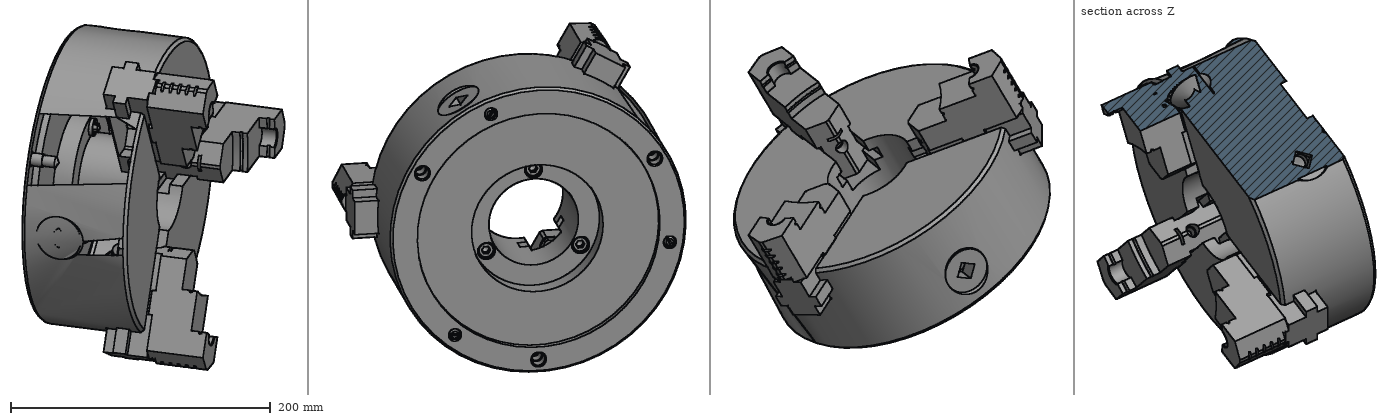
import cadquery as cq
import math

COUNT = 3
PITCH = 360 / COUNT
TAN30 = math.tan(math.radians(30))

body_radius = 116.0
body_length = 84.2
body_chamfer = 2.5
back_chamfer_width = 1.8
bore_diameter = 70.0
bolt_recess_diameter = 103.0
bolt_recess_depth = 15.0
spigot_diameter = 190.0
spigot_depth = 5.3

master_back = 54.5
master_front = 89.5
master_half_width = 13.4
master_outer_end = 133.5
tongue_back = 63.8
tongue_front = 73.8
tongue_half_width = 19.7
slot_clearance = 0.8
adjusting_hole_x = 82.0

jaw_front = 134.5
jaw_half_width = 16.5
jaw_inner_end = 45.9
jaw_outer_end = 136.0
step_fronts = (110.1, 122.2)
step_radii = (78.1, 109.0)
nose_flat = 2.8
tail_flat = 3.5
tail_shoulder = 128.5
step_corner_flat = 1.5
bolt_notch_diameter = 15.0
bolt_notch_chamfer = 0.8
bolt_diameter = 13.0

groove_width = 2.3
groove_depth = 1.8
groove_offset = 1.0
tooth_width = 1.9
tooth_depth = 1.5
tooth_count = 5
tooth_pitch = 6.5
first_tooth_x = 99.3

rib_half_width = 6.5
rib_height = 2.5
rib_slot_depth = 4.8
key_inner = 81.7
key_outer = 100.5
key_height = 3.0
key_slot_depth = 3.8

pinion_x = 29.5
pinion_angle = 60
pinion_diameter = 35.8
pinion_rim_diameter = 40.3
socket_side = 11.8
socket_depth = 14.0
socket_drill_depth = 7.5

tapped_radius = 105.0
tapped_angle = 30
thread_diameter = 10.0
thread_mouth_diameter = 12.0
thread_depth = 10.0
core_diameter = 8.5
core_depth = 20.2
slotted_radius = 104.0
slotted_angle = 69
slotted_mouth_diameter = 10.0
slotted_head_diameter = 8.5
slotted_crown_diameter = 5.5
slotted_recess_depth = 2.0
screw_slot_width = 1.5
screw_slot_depth = 0.8
screw_slot_turn = 51
cap_radius = 42.5
cap_angle = 90
cap_counterbore_diameter = 13.5
cap_head_diameter = 13.0
cap_crown_diameter = 11.0
cap_recess_depth = 2.0
hex_corner_diameter = 6.8
hex_depth = 3.8
hex_drill_diameter = 5.5

X_AXIS = cq.Vector(1, 0, 0)
Y_AXIS = cq.Vector(0, 1, 0)
Z_AXIS = cq.Vector(0, 0, 1)


def turned(shape, angle):
    """Turn a shape about the chuck axis."""
    return shape.rotate((0, 0, 0), (1, 0, 0), angle)


def repeated(shape, first_angle=0):
    """Equally spaced copies of a shape around the chuck axis."""
    copies = [turned(shape, first_angle + PITCH * i) for i in range(COUNT)]
    return copies[0].add(copies[1]).add(copies[2]).combine()


def block(x_range, y_range, half_width):
    """A box given by its X and Y ranges, centred on Z = 0."""
    (x0, x1), (y0, y1) = x_range, y_range
    return cq.Workplane().box(x1 - x0, y1 - y0, 2 * half_width).translate(((x0 + x1) / 2, (y0 + y1) / 2, 0))


def rod(diameter, start, length, direction):
    return cq.Workplane(cq.Solid.makeCylinder(diameter / 2, length, cq.Vector(*start), direction))


def cone(start_diameter, end_diameter, start, length, direction):
    return cq.Workplane(
        cq.Solid.makeCone(start_diameter / 2, end_diameter / 2, length, cq.Vector(*start), direction)
    )


def drill_point(diameter, start, direction):
    """The 120 degree bottom of a drilled hole."""
    return cone(diameter, 0, start, diameter / 2 * TAN30, direction)


def make_body():
    """Chamfered disc with a through bore and stepped recesses in its mounting face."""
    body = rod(2 * body_radius, (0, 0, 0), body_length, X_AXIS)
    body = body.faces(">X").chamfer(body_chamfer)
    body = body.faces("<X").chamfer(body_chamfer, back_chamfer_width)
    recess_floor = spigot_depth + bolt_recess_depth
    body = body.cut(rod(spigot_diameter, (0, 0, 0), spigot_depth, X_AXIS))
    body = body.cut(rod(bolt_recess_diameter, (0, 0, 0), recess_floor, X_AXIS))
    return body.cut(rod(bore_diameter, (0, 0, 0), body_length, X_AXIS))


def tee_bar(back, front, y_range):
    """A bar with side tongues, the section shared by the master jaws and their slots."""
    stem = block((back, front), y_range, master_half_width)
    return stem.union(block((tongue_back, tongue_front), y_range, tongue_half_width))


def nose_wedge(outer_end, half_width):
    """Plan of a jaw whose inner end is a blunt 120 degree point, as a tall prism."""
    flat = nose_flat / 2
    shoulder = jaw_inner_end + (half_width - flat) * TAN30
    points = [
        (jaw_inner_end, -flat),
        (shoulder, -half_width),
        (outer_end, -half_width),
        (outer_end, half_width),
        (shoulder, half_width),
        (jaw_inner_end, flat),
    ]
    return cq.Workplane("YZ").polyline(points).close().extrude(jaw_front)


def make_master_jaw():
    """Sliding base jaw with a locating rib, a cross slot and a threaded hole in its nose."""
    y_range = (0, master_outer_end)
    jaw = tee_bar(master_back, master_front, y_range)
    jaw = jaw.union(block((master_front, master_front + rib_height), y_range, rib_half_width))
    jaw = jaw.intersect(nose_wedge(master_outer_end, tongue_half_width))
    key_slot = (master_front - key_slot_depth, master_front + rib_height)
    jaw = jaw.cut(block(key_slot, (key_inner, key_outer), tongue_half_width))
    hole_start = (adjusting_hole_x, jaw_inner_end, 0)
    jaw = jaw.cut(rod(thread_diameter, hole_start, thread_depth, Y_AXIS))
    return jaw.cut(rod(core_diameter, hole_start, core_depth, Y_AXIS))


def step_hollow(corner_radius, back, front):
    """Coaxial grinding hollow with a round groove, leaving a narrow flat at both step corners."""
    radius = math.hypot(corner_radius, jaw_half_width - step_corner_flat)
    hollow = rod(2 * radius, (back, 0, 0), front - back, X_AXIS)
    tube_radius = groove_width / 2
    ring_radius = radius + groove_depth - tube_radius
    ring_x = (back + front) / 2 + groove_offset
    ring = cq.Solid.makeTorus(ring_radius, tube_radius, cq.Vector(ring_x, 0, 0), X_AXIS)
    return hollow.union(cq.Workplane(ring))


def make_teeth():
    """Cutters for the round-bottomed serrations across the tail of a top jaw."""
    root = jaw_outer_end - tooth_depth + tooth_width / 2
    teeth = cq.Workplane()
    for i in range(tooth_count):
        x = first_tooth_x + i * tooth_pitch
        x_range = (x - tooth_width / 2, x + tooth_width / 2)
        teeth = teeth.add(block(x_range, (root, jaw_outer_end), jaw_half_width))
        teeth = teeth.add(rod(tooth_width, (x, root, -jaw_half_width), 2 * jaw_half_width, Z_AXIS))
    return teeth.combine()


def make_top_jaw():
    """Stepped jaw with hollow-ground steps, a pointed tail, a cross key and its clamping bolt."""
    low, middle = step_fronts
    inner_step, outer_step = step_radii
    outline = [
        (master_front, 0),
        (low, 0),
        (low, inner_step),
        (middle, inner_step),
        (middle, outer_step),
        (jaw_front, outer_step),
        (jaw_front, jaw_outer_end),
        (master_front, jaw_outer_end),
    ]
    jaw = cq.Workplane().polyline(outline).close().extrude(jaw_half_width, both=True)
    jaw = jaw.intersect(nose_wedge(jaw_outer_end, jaw_half_width))
    tail = [
        (0, -jaw_half_width),
        (tail_shoulder, -jaw_half_width),
        (jaw_outer_end, -tail_flat / 2),
        (jaw_outer_end, tail_flat / 2),
        (tail_shoulder, jaw_half_width),
        (0, jaw_half_width),
    ]
    jaw = jaw.intersect(cq.Workplane("YZ").polyline(tail).close().extrude(jaw_front))
    jaw = jaw.cut(step_hollow(inner_step, low, middle))
    jaw = jaw.cut(step_hollow(outer_step, middle, jaw_front))
    jaw = jaw.cut(rod(bolt_notch_diameter, (middle, outer_step, 0), jaw_front - middle, X_AXIS))
    mouth_diameter = bolt_notch_diameter + 2 * bolt_notch_chamfer
    mouth_start = (jaw_front, outer_step, 0)
    jaw = jaw.cut(cone(mouth_diameter, bolt_notch_diameter, mouth_start, bolt_notch_chamfer, -X_AXIS))
    jaw = jaw.cut(make_teeth())
    rib_slot = (master_front, master_front + rib_slot_depth)
    jaw = jaw.cut(block(rib_slot, (0, jaw_outer_end), rib_half_width))
    key = (master_front - key_height, master_front)
    jaw = jaw.union(block(key, (key_inner, key_outer), jaw_half_width))
    return jaw.union(rod(bolt_diameter, (master_front, outer_step, 0), low - master_front, X_AXIS))


def pinion_cut():
    """Flat pinion end with a wide countersink around it and a square key socket, drilled deeper."""
    face = math.sqrt(body_radius**2 - (pinion_diameter / 2) ** 2)
    rise = body_radius - face
    rim_growth = pinion_rim_diameter - pinion_diameter
    mouth = cone(pinion_diameter, pinion_diameter + 2 * rim_growth, (pinion_x, face, 0), 2 * rise, Y_AXIS)
    floor = face - socket_depth
    socket = block((-socket_side / 2, socket_side / 2), (floor, face), socket_side / 2)
    socket = socket.rotate((0, 0, 0), (0, 1, 0), 45).translate((pinion_x, 0, 0))
    drill = rod(socket_side, (pinion_x, floor, 0), socket_drill_depth, -Y_AXIS)
    point = drill_point(socket_side, (pinion_x, floor - socket_drill_depth, 0), -Y_AXIS)
    return mouth.union(socket).union(drill).union(point)


def tapped_hole_cut():
    """Chamfered threaded mounting hole with a drilled bottom."""
    chamfer = (thread_mouth_diameter - thread_diameter) / 2
    hole = cone(thread_mouth_diameter, thread_diameter, (0, tapped_radius, 0), chamfer, X_AXIS)
    hole = hole.union(rod(thread_diameter, (0, tapped_radius, 0), thread_depth, X_AXIS))
    hole = hole.union(rod(core_diameter, (0, tapped_radius, 0), core_depth, X_AXIS))
    return hole.union(drill_point(core_diameter, (core_depth, tapped_radius, 0), X_AXIS))


def slotted_screw_cut():
    """Countersink around a crowned, slotted screw head."""
    depth = slotted_recess_depth
    start = (0, slotted_radius, 0)
    crown = (slotted_head_diameter - slotted_crown_diameter) / 2
    cut = cone(slotted_mouth_diameter, slotted_head_diameter, start, depth, X_AXIS)
    head = cone(
        slotted_crown_diameter, slotted_head_diameter, (depth - crown, slotted_radius, 0), crown, X_AXIS
    )
    half_length = slotted_head_diameter / 2
    slot = block((0, depth + screw_slot_depth), (-half_length, half_length), screw_slot_width / 2)
    slot = turned(slot, screw_slot_turn).translate(start)
    return cut.cut(head).union(slot)


def cap_screw_cut():
    """Counterbore around a chamfered socket-head screw with a drilled hexagon."""
    back = spigot_depth + bolt_recess_depth
    head_top = back + cap_recess_depth
    chamfer = (cap_head_diameter - cap_crown_diameter) / 2
    cut = rod(cap_counterbore_diameter, (back, cap_radius, 0), cap_recess_depth + chamfer, X_AXIS)
    head = cone(cap_crown_diameter, cap_head_diameter, (head_top, cap_radius, 0), chamfer, X_AXIS)
    hexagon = cq.Workplane("YZ").polygon(6, hex_corner_diameter).extrude(hex_depth)
    hexagon = hexagon.rotate((0, 0, 0), (1, 0, 0), 90).translate((head_top, cap_radius, 0))
    point = drill_point(hex_drill_diameter, (head_top + hex_depth, cap_radius, 0), X_AXIS)
    return cut.cut(head).union(hexagon).union(point)


body = make_body()
jaw_slot = tee_bar(master_back - slot_clearance, body_length, (0, body_radius))
body = body.cut(repeated(jaw_slot))
body = body.cut(repeated(pinion_cut(), pinion_angle))
body = body.cut(repeated(tapped_hole_cut(), tapped_angle))
body = body.cut(repeated(slotted_screw_cut(), slotted_angle))
body = body.cut(repeated(cap_screw_cut(), cap_angle))

jaw = make_master_jaw().union(make_top_jaw())
result = body.union(repeated(jaw))